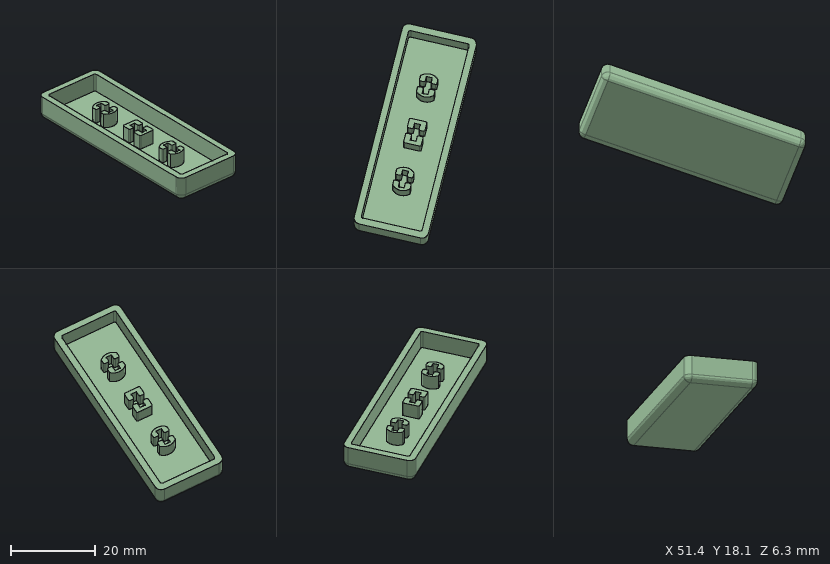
import cadquery as cq

cap_length = 51.39
cap_width = 18.05
cap_height = 6.3
corner_radius = 1.6
crown_radius = corner_radius

wall = 1.65
floor_thickness = 1.6
cavity_corner_radius = 0.5

stem_height = 3.7
stem_spacing = 12.0
stem_depth = 4.25
center_stem_length = 6.25
side_stem_diameter = 5.85
stem_corner_radius = 0.3

cross_length = 4.3
cross_bar_width = 1.4
center_gap = 1.4
side_gap = 1.45
socket_edge_radius = 0.3


def make_shell():
    """Rounded block with an open cavity."""
    block = (
        cq.Workplane("XY")
        .box(cap_length, cap_width, cap_height, centered=(True, True, False))
        .edges("|Z")
        .fillet(corner_radius)
        .faces("<Z")
        .edges()
        .fillet(crown_radius)
    )
    cavity = (
        cq.Workplane("XY")
        .workplane(offset=floor_thickness)
        .rect(cap_length - 2 * wall, cap_width - 2 * wall)
        .extrude(cap_height - floor_thickness)
        .edges("|Z")
        .fillet(cavity_corner_radius)
    )
    return block.cut(cavity)


def stem_box(length, depth):
    """Upright box of stem height, centred on the Z axis."""
    return cq.Workplane("XY").box(length, depth, stem_height, centered=(True, True, False))


def cut_socket(stem, gap):
    """Split the stem along Y, notch both halves along X and round the gap edges."""
    slotted = stem.cut(stem_box(gap, stem_depth)).cut(stem_box(cross_length, cross_bar_width))
    gap_edges = cq.selectors.BoxSelector(
        (-gap, -stem_depth, 0),
        (gap, stem_depth, stem_height),
    )
    return slotted.edges("|Z").edges(gap_edges).fillet(socket_edge_radius)


def make_center_stem():
    """Rectangular stem with rounded corners."""
    stem = stem_box(center_stem_length, stem_depth).edges("|Z").fillet(stem_corner_radius)
    return cut_socket(stem, center_gap)


def make_side_stem():
    """Round stem with flats on its -Y and +Y sides."""
    stem = cq.Workplane("XY").circle(side_stem_diameter / 2).extrude(stem_height)
    return cut_socket(stem.intersect(stem_box(side_stem_diameter, stem_depth)), side_gap)


result = make_shell()
result = result.union(make_center_stem().translate((0, 0, floor_thickness)))
for stem_x in (-stem_spacing, stem_spacing):
    result = result.union(make_side_stem().translate((stem_x, 0, floor_thickness)))